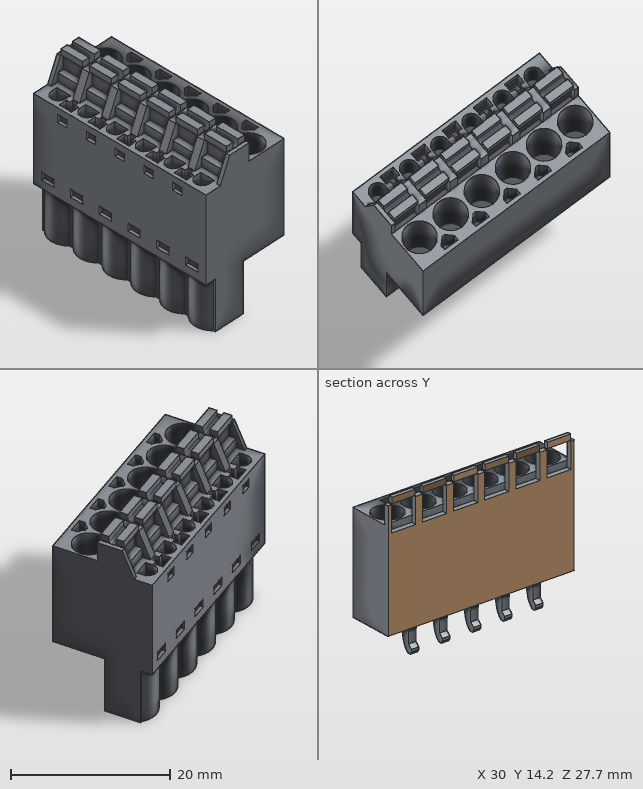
import cadquery as cq


pole_count = 6
length = 30.0
depth = 14.2
height = 27.72
pitch = length / pole_count
pole_centers = [(i + 0.5) * pitch for i in range(pole_count)]
joint_centers = [i * pitch for i in range(1, pole_count)]

body_bottom = 8.37
front_shelf_z = 22.75
rear_shelf_z = 23.75
rear_shelf_y = 7.83

rib_width = 1.2
rib_top_z = 26.67
rib_top_front_y = 4.3
rib_foot_y = 2.58

plug_front_y = 1.68
plug_back_y = 6.8
bulge_width = 4.45
bulge_front_y = 0.75

hook_width = 1.2
hook_root_back = (10.32, body_bottom)
hook_root_bevel = (10.05, 8.0)
hook_bend_start = (9.57, 5.75)
hook_bend_middle = (9.25, 4.9)
hook_toe_back = (8.6, 4.15)
hook_toe_front = (8.13, 4.15)
hook_tip_low = (7.9, 4.53)
hook_tip_high = (7.9, 4.92)
hook_throat = (8.45, 5.45)
hook_neck = (8.45, 7.08)
hook_root_curve = (8.35, 7.68)
hook_root_front = (8.0, body_bottom)

wire_hole_diameter = 4.45
wire_hole_y = 10.35
wire_hole_depth = 9.0
notch_width = 2.13
notch_back_y = 13.62
notch_shoulder_y = 12.87
notch_tip_y = 12.03
notch_tip_width = 0.45
notch_depth = 3.6

test_hole_width = 2.37
test_hole_back_y = 2.9
test_hole_front_y = 0.75
test_hole_depth = 4.5
tee_width = 2.1
tee_stem_width = 0.87
tee_front_y = 0.57
tee_shoulder_y = 1.9
tee_back_y = 2.37
tee_depth = 3.6

window_height = 1.25
window_depth = 0.5
upper_window_width = 1.6
upper_window_z = 21.03
lower_window_width = 2.13
lower_window_z = 10.32

lever_width = pitch - rib_width
foot_front_y = 3.8
foot_top_z = 24.2
stem_front_y = 4.85
stem_back_y = 6.93
head_front_y = 4.35
head_back_y = 7.62
head_bottom_z = 26.75
groove_width = 0.95
groove_arc_drop = 0.65


def slab_across(outline, x_center, width):
    """Extrude a closed YZ outline to the given width, centered on x_center."""
    return outline.extrude(width / 2, both=True).translate((x_center, 0, 0))


def make_block():
    """Main block, with its rear shelf a little higher than its front shelf."""
    outline = cq.Workplane("YZ").polyline([
        (0, body_bottom),
        (depth, body_bottom),
        (depth, rear_shelf_z),
        (rear_shelf_y, rear_shelf_z),
        (rear_shelf_y, front_shelf_z),
        (0, front_shelf_z),
    ]).close()
    return outline.extrude(length)


def make_rib(index):
    """Sloped rib beside the levers; the two end ribs are half as wide."""
    left = max(index * pitch - rib_width / 2, 0)
    right = min(index * pitch + rib_width / 2, length)
    outline = cq.Workplane("YZ").polyline([
        (rib_foot_y, front_shelf_z),
        (rear_shelf_y, front_shelf_z),
        (rear_shelf_y, rib_top_z),
        (rib_top_front_y, rib_top_z),
    ]).close()
    return slab_across(outline, (left + right) / 2, right - left)


def make_plug():
    """Plug with one circular-arc bulge per pole along its front."""
    outline = cq.Workplane("XY").moveTo(0, plug_back_y).lineTo(0, plug_front_y)
    for x in pole_centers:
        outline = outline.lineTo(x - bulge_width / 2, plug_front_y)
        outline = outline.threePointArc((x, bulge_front_y), (x + bulge_width / 2, plug_front_y))
    outline = outline.lineTo(length, plug_front_y).lineTo(length, plug_back_y).close()
    return outline.extrude(body_bottom)


def make_hook(x):
    """Latch hook hanging from the block, with its tip turned toward the plug."""
    outline = (
        cq.Workplane("YZ")
        .moveTo(*hook_root_back)
        .lineTo(*hook_root_bevel)
        .lineTo(*hook_bend_start)
        .threePointArc(hook_bend_middle, hook_toe_back)
        .lineTo(*hook_toe_front)
        .lineTo(*hook_tip_low)
        .lineTo(*hook_tip_high)
        .lineTo(*hook_throat)
        .lineTo(*hook_neck)
        .threePointArc(hook_root_curve, hook_root_front)
        .close()
    )
    return slab_across(outline, x, hook_width)


def make_wire_hole(x):
    """Round blind wire entry in the rear shelf."""
    hole = cq.Workplane("XY").circle(wire_hole_diameter / 2).extrude(-wire_hole_depth)
    return hole.translate((x, wire_hole_y, rear_shelf_z))


def make_notch(x):
    """Five-sided pocket with a blunt tip, in the rear shelf between two wire entries."""
    outline = cq.Workplane("XY").polyline([
        (-notch_width / 2, notch_back_y),
        (notch_width / 2, notch_back_y),
        (notch_width / 2, notch_shoulder_y),
        (notch_tip_width / 2, notch_tip_y),
        (-notch_tip_width / 2, notch_tip_y),
        (-notch_width / 2, notch_shoulder_y),
    ]).close()
    return outline.extrude(-notch_depth).translate((x, 0, rear_shelf_z))


def make_test_hole(x):
    """D-shaped blind hole in the front shelf, round side to the front."""
    radius = test_hole_width / 2
    round_start_y = test_hole_front_y + radius
    outline = (
        cq.Workplane("XY")
        .moveTo(-radius, round_start_y)
        .threePointArc((0, test_hole_front_y), (radius, round_start_y))
        .lineTo(radius, test_hole_back_y)
        .lineTo(-radius, test_hole_back_y)
        .close()
    )
    return outline.extrude(-test_hole_depth).translate((x, 0, front_shelf_z))


def make_tee_pocket(x):
    """T-shaped blind pocket in the front shelf, at the foot of a rib."""
    outline = cq.Workplane("XY").polyline([
        (-tee_width / 2, tee_front_y),
        (tee_width / 2, tee_front_y),
        (tee_width / 2, tee_shoulder_y),
        (tee_stem_width / 2, tee_shoulder_y),
        (tee_stem_width / 2, tee_back_y),
        (-tee_stem_width / 2, tee_back_y),
        (-tee_stem_width / 2, tee_shoulder_y),
        (-tee_width / 2, tee_shoulder_y),
    ]).close()
    return outline.extrude(-tee_depth).translate((x, 0, front_shelf_z))


def make_window(x, z, width):
    """Shallow rectangular recess in the front face."""
    recess = cq.Workplane("XY").box(width, window_depth, window_height)
    return recess.translate((x, window_depth / 2, z))


def make_housing():
    """Block, plug, ribs and hooks as one solid, with every opening cut."""
    body = make_block().union(make_plug())
    for index in range(pole_count + 1):
        body = body.union(make_rib(index))
    for x in joint_centers:
        body = body.union(make_hook(x))
    for x in pole_centers:
        body = body.cut(make_wire_hole(x))
        body = body.cut(make_test_hole(x))
        body = body.cut(make_window(x, lower_window_z, lower_window_width))
    for x in joint_centers:
        body = body.cut(make_notch(x))
        body = body.cut(make_tee_pocket(x))
        body = body.cut(make_window(x, upper_window_z, upper_window_width))
    return body


def make_lever(x):
    """Push lever: stepped foot, stem, and an overhanging head with a round-bottomed groove."""
    groove_radius = groove_width / 2
    groove_y = (head_front_y + head_back_y) / 2
    groove_arc_z = height - groove_arc_drop
    outline = (
        cq.Workplane("YZ")
        .moveTo(foot_front_y, front_shelf_z)
        .lineTo(foot_front_y, foot_top_z)
        .lineTo(stem_front_y, foot_top_z)
        .lineTo(stem_front_y, head_bottom_z)
        .lineTo(head_front_y, head_bottom_z)
        .lineTo(head_front_y, height)
        .lineTo(groove_y - groove_radius, height)
        .lineTo(groove_y - groove_radius, groove_arc_z)
        .threePointArc((groove_y, groove_arc_z - groove_radius), (groove_y + groove_radius, groove_arc_z))
        .lineTo(groove_y + groove_radius, height)
        .lineTo(head_back_y, height)
        .lineTo(head_back_y, head_bottom_z)
        .lineTo(stem_back_y, head_bottom_z)
        .lineTo(stem_back_y, front_shelf_z)
        .close()
    )
    return slab_across(outline, x, lever_width)


housing = make_housing()
levers = [make_lever(x) for x in pole_centers]

result = cq.Compound.makeCompound([housing.val(), *[lever.val() for lever in levers]])